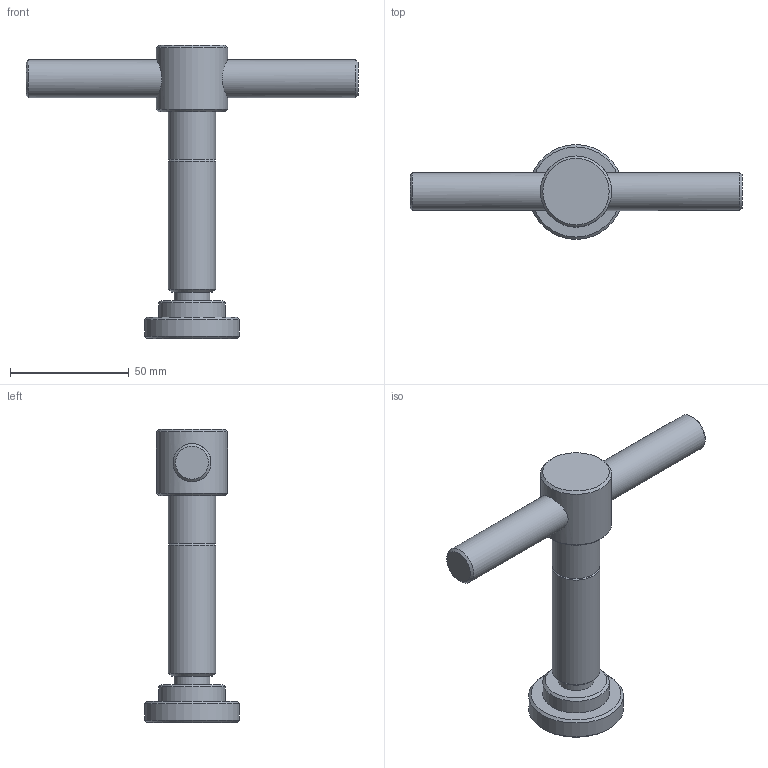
import cadquery as cq

PAD_DIAMETER = 40.0
PAD_HEIGHT = 9.0
COLLAR_DIAMETER = 28.0
COLLAR_HEIGHT = 7.0

NECK_DIAMETER = 15.0
NECK_HEIGHT = 3.6

SPINDLE_DIAMETER = 20.0
SPINDLE_LENGTH = 56.0
SPINDLE_TIP_CHAMFER = 1.25
SHOULDER_CHAMFER = 0.8
SHANK_LENGTH = 20.0

HEAD_DIAMETER = 30.0
HEAD_HEIGHT = 28.0
BAR_DIAMETER = 16.0
BAR_LENGTH = 140.0

EDGE_CHAMFER = 1.0

COLLAR_Z = PAD_HEIGHT
NECK_Z = COLLAR_Z + COLLAR_HEIGHT
SPINDLE_Z = NECK_Z + NECK_HEIGHT
SHANK_Z = SPINDLE_Z + SPINDLE_LENGTH
HEAD_Z = SHANK_Z + SHANK_LENGTH
BAR_Z = HEAD_Z + HEAD_HEIGHT / 2


def disc(diameter, height, base_z, bottom_chamfer=0.0, top_chamfer=0.0):
    """Upright cylinder on the Z axis with optional chamfers on its two rims."""
    body = cq.Workplane("XY").workplane(offset=base_z).circle(diameter / 2).extrude(height)
    if bottom_chamfer:
        body = body.faces("<Z").edges().chamfer(bottom_chamfer)
    if top_chamfer:
        body = body.faces(">Z").edges().chamfer(top_chamfer)
    return body


def pressure_pad():
    """Wide foot with a smaller collar on top."""
    foot = disc(PAD_DIAMETER, PAD_HEIGHT, 0.0, EDGE_CHAMFER, EDGE_CHAMFER)
    collar = disc(COLLAR_DIAMETER, COLLAR_HEIGHT, COLLAR_Z, top_chamfer=EDGE_CHAMFER)
    return foot.union(collar)


def spindle():
    """Neck, chamfered spindle and the plain shank of the same diameter."""
    neck = disc(NECK_DIAMETER, NECK_HEIGHT, NECK_Z)
    shaft = disc(SPINDLE_DIAMETER, SPINDLE_LENGTH, SPINDLE_Z, SPINDLE_TIP_CHAMFER, SHOULDER_CHAMFER)
    shank = disc(SPINDLE_DIAMETER, SHANK_LENGTH, SHANK_Z)
    return neck.union(shaft).union(shank)


def head():
    """Cylindrical head with both rims chamfered."""
    return disc(HEAD_DIAMETER, HEAD_HEIGHT, HEAD_Z, EDGE_CHAMFER, EDGE_CHAMFER)


def cross_bar():
    """Round bar along X, centred on the head, with chamfered ends."""
    bar = cq.Workplane("YZ").center(0, BAR_Z).circle(BAR_DIAMETER / 2).extrude(BAR_LENGTH / 2, both=True)
    return bar.faces("<X or >X").edges().chamfer(EDGE_CHAMFER)


result = pressure_pad().union(spindle()).union(head()).union(cross_bar())